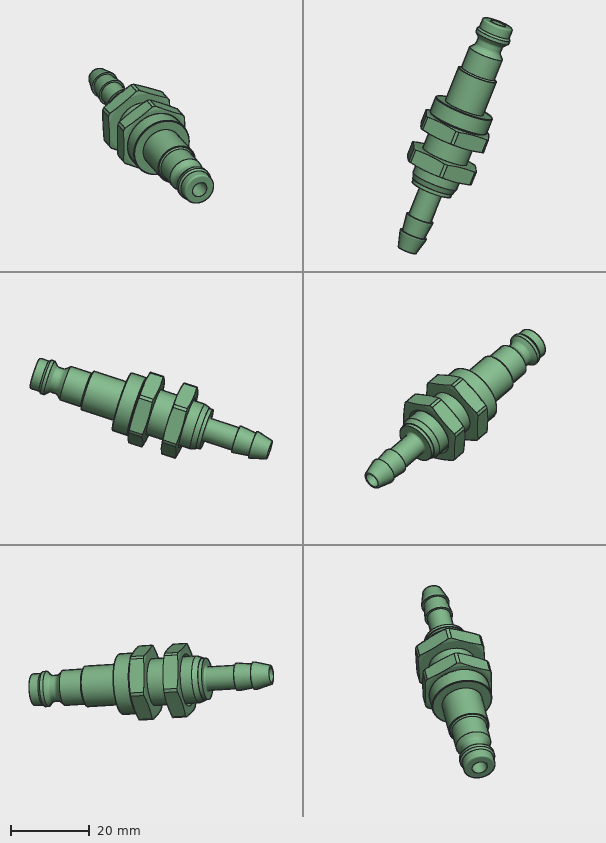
import cadquery as cq
import math

length = 63.0
bore_dia = 4.0

tip_dia = 5.0
tip_round = 0.2
barb_dia = 7.05
stem_dia = 6.05
barb_land = 0.45
first_barb_end = 4.5
second_barb_end = 8.95
stem_end = 16.9
stem_fillet = 0.5

collar_dia = 10.6
collar_end = 17.8
barrel_chamfer_dia = 10.95
barrel_chamfer_end = 19.3
barrel_dia = 12.0

seat_dia = 14.0
flange_dia = 15.5
flange_start = 35.35
flange_end = 39.6
flange_chamfer = 0.2
seat_height = 0.25

body_dia = 10.4
body_end = 48.75
plug_root_cone = 0.4
plug_dia = 9.0
plug_end = 54.7
groove_dia = 6.7
groove_start = 56.3
groove_end = 57.5
groove_slope_run = 0.75
groove_front_round_dia = 7.4
groove_rear_round_end = 58.0
groove_rear_round_dia = 7.05
lip_start = 59.0
lip_end = 59.9
nose_dia = 8.1
nose_start = 60.5
nose_round = 0.5

nut_across_flats = 17.0
nut_corner_dia = 19.15
nut_thickness = 4.05
nut_face_dia = 16.95
nut_chamfer_length = 0.25
nut_countersink_dia = 13.2
front_nut_start = 22.1
rear_nut_start = flange_start - seat_height - nut_thickness
front_nut_turn = 2.6
rear_nut_turn = 0.0


def revolve_about_x(profile):
    """Revolve an XY profile a full turn about the X axis."""
    return profile.close().revolve(360, (0, 0, 0), (1, 0, 0))


def make_coupling():
    """Barbed tube, barrel, flange and plug turned from one piece, with a through bore."""
    seat_start = flange_start - seat_height
    profile = (
        cq.Workplane("XY")
        .moveTo(0, bore_dia / 2)
        .lineTo(0, tip_dia / 2 - tip_round)
        .radiusArc((tip_round, tip_dia / 2), tip_round)
        .lineTo(first_barb_end - barb_land, barb_dia / 2)
        .lineTo(first_barb_end, barb_dia / 2)
        .lineTo(first_barb_end, stem_dia / 2)
        .lineTo(second_barb_end - barb_land, barb_dia / 2)
        .lineTo(second_barb_end, barb_dia / 2)
        .lineTo(second_barb_end, stem_dia / 2)
        .lineTo(stem_end - stem_fillet, stem_dia / 2)
        .radiusArc((stem_end, stem_dia / 2 + stem_fillet), -stem_fillet)
        .lineTo(stem_end, collar_dia / 2)
        .lineTo(collar_end, collar_dia / 2)
        .lineTo(collar_end, barrel_chamfer_dia / 2)
        .lineTo(barrel_chamfer_end, barrel_dia / 2)
        .lineTo(seat_start, barrel_dia / 2)
        .lineTo(seat_start, seat_dia / 2)
        .lineTo(flange_start, seat_dia / 2)
        .lineTo(flange_start, flange_dia / 2 - flange_chamfer)
        .lineTo(flange_start + flange_chamfer, flange_dia / 2)
        .lineTo(flange_end - flange_chamfer, flange_dia / 2)
        .lineTo(flange_end, flange_dia / 2 - flange_chamfer)
        .lineTo(flange_end, body_dia / 2)
        .lineTo(body_end, body_dia / 2)
        .lineTo(body_end, plug_dia / 2 + plug_root_cone)
        .lineTo(body_end + plug_root_cone, plug_dia / 2)
        .lineTo(plug_end, plug_dia / 2)
        .lineTo(groove_start - groove_slope_run, groove_front_round_dia / 2)
        .tangentArcPoint((groove_start, groove_dia / 2), relative=False)
        .lineTo(groove_end, groove_dia / 2)
        .tangentArcPoint((groove_rear_round_end, groove_rear_round_dia / 2), relative=False)
        .lineTo(lip_start, plug_dia / 2)
        .lineTo(lip_end, plug_dia / 2)
        .lineTo(nose_start, nose_dia / 2)
        .lineTo(length - nose_round, nose_dia / 2)
        .radiusArc((length, nose_dia / 2 - nose_round), nose_round)
        .lineTo(length, bore_dia / 2)
    )
    return revolve_about_x(profile)


def make_nut(start, turn, flipped):
    """Hexagon nut with truncated corners, chamfered faces and a bore countersunk at one end."""
    countersink_depth = (nut_countersink_dia - barrel_dia) / 2
    corner_to_corner = nut_across_flats / math.cos(math.radians(30))
    hexagon = (
        cq.Workplane("YZ")
        .polygon(6, corner_to_corner)
        .extrude(nut_thickness)
        .rotate((0, 0, 0), (1, 0, 0), 90 + turn)
    )
    turned_blank = revolve_about_x(
        cq.Workplane("XY")
        .moveTo(0, nut_countersink_dia / 2)
        .lineTo(0, nut_face_dia / 2)
        .lineTo(nut_chamfer_length, nut_corner_dia / 2)
        .lineTo(nut_thickness - nut_chamfer_length, nut_corner_dia / 2)
        .lineTo(nut_thickness, nut_face_dia / 2)
        .lineTo(nut_thickness, barrel_dia / 2)
        .lineTo(countersink_depth, barrel_dia / 2)
    )
    nut = hexagon.intersect(turned_blank)
    if flipped:
        nut = nut.mirror("YZ", (nut_thickness / 2, 0, 0))
    return nut.translate((start, 0, 0))


coupling = make_coupling()
nut_places = [
    (front_nut_start, front_nut_turn, False),
    (rear_nut_start, rear_nut_turn, True),
]
nuts = [make_nut(start, turn, flipped) for start, turn, flipped in nut_places]

result = cq.Compound.makeCompound([coupling.val(), *[nut.val() for nut in nuts]])